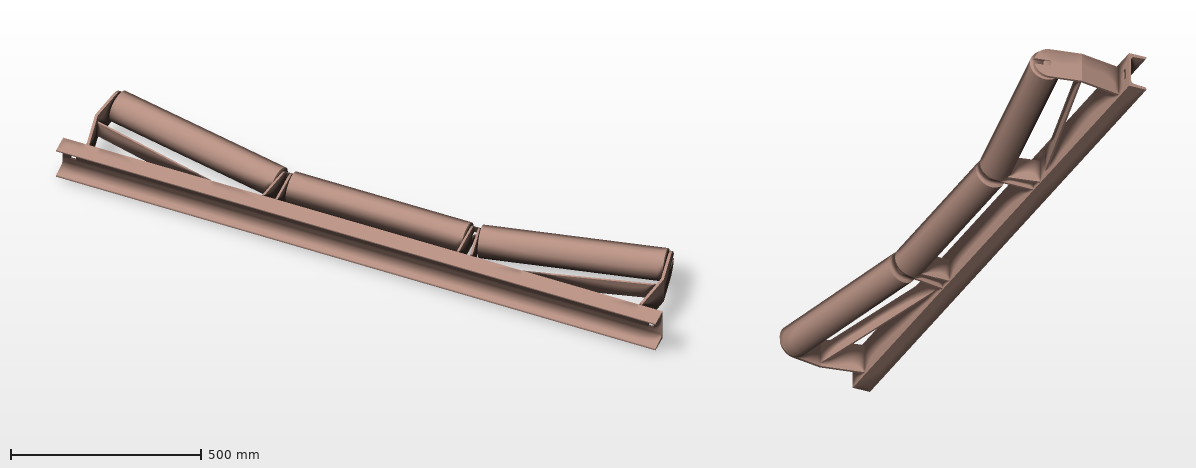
import cadquery as cq
import math


channel_length = 1700.0
channel_height = 100.0
channel_depth = 50.0
web_thickness = 6.0
flange_thickness = 8.0
flange_slope = 0.08
root_radius = 8.0
toe_radius = 4.2
bolt_slot_width = 15.0
bolt_slot_height = 30.0
bolt_slot_inset = 30.0

roller_radius = 44.5
roller_length = 502.0
rim_length = 7.0
rim_depth = 2.0
shaft_radius = 10.0
shaft_flat_height = 15.0
roller_gap = 3.0

axis_y = 167.0
axis_z = -19.4
pivot_x = 265.0
wing_start = 20.0
wing_angle = 10.0
lift_angle = 2.0

end_sheet = 7.6
end_plate_height = 83.0
end_plate_tip_y = 294.0

fork_sheet = 6.0
fork_height = 65.0
fork_bottom_z = -46.8
fork_top_y = 195.0
fork_bend_radius = 9.4
fork_corner_radius = 24.0

brace_thickness = 5.0
brace_height = 51.0
brace_z = -5.0
brace_foot_x = 332.0

half_length = channel_length / 2
half_roller = roller_length / 2
shaft_half = half_roller + roller_gap + fork_sheet
wing_tan = math.tan(math.radians(wing_angle))
wing_cos = math.cos(math.radians(wing_angle))
end_sheet_x = end_sheet / wing_cos
end_plate_distance = wing_start + roller_length + roller_gap + end_sheet


def wing_plane_x(distance, y):
    """X at height y of the upright plane square to the wing axis, at a distance from the pivot."""
    return pivot_x + distance / wing_cos - (y - axis_y) * wing_tan


bend_x = wing_plane_x(end_plate_distance, axis_y)


def upright_sheet(points, height, bottom_z):
    """Sheet with the given plan outline in X and Y, standing up along Z."""
    return cq.Workplane("XY", origin=(0, 0, bottom_z)).polyline(points).close().extrude(height)


def fillet_inner_edges(channel, y, half_z, radius):
    """Round the two long edges at the given Y and at Z = half_z and -half_z."""
    margin = 0.2
    zone = cq.selectors.BoxSelector(
        (-channel_length, y - margin, -half_z - margin),
        (channel_length, y + margin, half_z + margin),
    )
    return channel.edges(zone).edges("|X").fillet(radius)


def make_channel():
    half = channel_height / 2
    half_rise = flange_slope * channel_depth / 2
    toe = half - flange_thickness + half_rise
    root = half - flange_thickness - half_rise + flange_slope * web_thickness
    web_y = channel_depth - web_thickness
    profile = [
        (0, half), (channel_depth, half), (channel_depth, -half), (0, -half),
        (0, -toe), (web_y, -root), (web_y, root), (0, toe),
    ]
    channel = (
        cq.Workplane("YZ", origin=(-half_length, 0, 0))
        .polyline(profile)
        .close()
        .extrude(channel_length)
    )
    channel = fillet_inner_edges(channel, web_y, root, root_radius)
    channel = fillet_inner_edges(channel, 0, toe, toe_radius)
    slot_x = half_length - bolt_slot_inset
    slots = (
        cq.Workplane("XZ")
        .pushPoints([(-slot_x, 0), (slot_x, 0)])
        .rect(bolt_slot_width, bolt_slot_height)
        .extrude(-channel_depth)
    )
    return channel.cut(slots)


def flatted_bar(half_bar):
    """Round bar along X with flats above and below, centred on the origin."""
    bar = cq.Workplane("YZ", origin=(-half_bar, 0, 0)).circle(shaft_radius).extrude(2 * half_bar)
    flats = cq.Workplane("XY").box(2 * half_bar, 2 * shaft_radius, shaft_flat_height)
    return bar.intersect(flats)


def make_roller():
    """Roller along X, centred on the origin, with a flatted shaft end on each side."""
    shell = cq.Workplane("YZ", origin=(-half_roller, 0, 0)).circle(roller_radius).extrude(roller_length)
    shell = shell.faces("<X or >X").chamfer(rim_depth, rim_length)
    return shell.union(flatted_bar(shaft_half))


def make_shaft_slot():
    """Cutter for the bracket slots that seat the shaft of a roller on X, open towards +Y."""
    reach = shaft_half + end_sheet
    depth = 2 * roller_radius
    throat = cq.Workplane("XY").box(2 * reach, depth, shaft_flat_height).translate((0, depth / 2, 0))
    return flatted_bar(reach).union(throat)


def to_centre(body):
    """Move a body lying on X to the centre roller axis."""
    return body.translate((0, axis_y, axis_z))


def to_wing(body):
    """Move a body lying on X to the wing roller on the +X side."""
    return (
        body.translate((wing_start + half_roller, 0, 0))
        .rotate((0, 0, 0), (0, 1, 0), -lift_angle)
        .rotate((0, 0, 0), (0, 0, 1), wing_angle)
        .translate((pivot_x, axis_y, axis_z))
    )


def make_end_plate():
    half = end_plate_height / 2
    foot_x = bend_x - (axis_y - channel_depth) * wing_tan
    tip_x = wing_plane_x(end_plate_distance, end_plate_tip_y)
    plan = [
        (foot_x, channel_depth), (bend_x, axis_y), (tip_x, end_plate_tip_y),
        (tip_x - end_sheet_x, end_plate_tip_y), (bend_x - end_sheet_x, axis_y),
        (foot_x - end_sheet_x, channel_depth),
    ]
    rounded_outline = (
        cq.Workplane("YZ")
        .moveTo(channel_depth, -half)
        .lineTo(end_plate_tip_y - half, -half)
        .threePointArc((end_plate_tip_y, 0), (end_plate_tip_y - half, half))
        .lineTo(channel_depth, half)
        .close()
        .extrude(half_length)
    )
    plate = upright_sheet(plan, end_plate_height, -half).intersect(rounded_outline)
    return plate.cut(to_wing(make_shaft_slot()))


def make_fork():
    """One leg square to the centre roller, one square to the wing roller, joined by a bridge."""
    centre_face = half_roller + roller_gap
    wing_face = wing_start - roller_gap
    inner_face = wing_face - fork_sheet
    inner_y = fork_top_y - fork_sheet
    plan = [
        (centre_face, channel_depth), (centre_face, fork_top_y),
        (wing_plane_x(wing_face, fork_top_y), fork_top_y),
        (wing_plane_x(wing_face, channel_depth), channel_depth),
        (wing_plane_x(inner_face, channel_depth), channel_depth),
        (wing_plane_x(inner_face, inner_y), inner_y),
        (centre_face + fork_sheet, inner_y), (centre_face + fork_sheet, channel_depth),
    ]
    fork = upright_sheet(plan, fork_height, fork_bottom_z).edges("|Z and >Y").fillet(fork_bend_radius)
    rounded_outline = (
        cq.Workplane("XY", origin=(0, channel_depth, fork_bottom_z))
        .box(half_length, fork_top_y - channel_depth, fork_height, centered=False)
        .edges("|X and >Y")
        .fillet(fork_corner_radius)
    )
    slot = make_shaft_slot()
    return fork.intersect(rounded_outline).cut(to_centre(slot)).cut(to_wing(slot))


def make_brace():
    head_x = bend_x - end_sheet_x
    run = head_x - brace_foot_x
    rise = axis_y - channel_depth
    drop = brace_thickness * math.hypot(run, rise) / run
    lower_head_y = axis_y - drop / (1 - wing_tan * rise / run)
    plan = [
        (head_x, axis_y), (brace_foot_x, channel_depth),
        (brace_foot_x + drop * run / rise, channel_depth),
        (head_x - (axis_y - lower_head_y) * wing_tan, lower_head_y),
    ]
    return upright_sheet(plan, brace_height, brace_z - brace_height / 2)


channel = make_channel()
centre_roller = to_centre(make_roller())
bodies = [channel, centre_roller]

wing_roller = to_wing(make_roller())
for side_body in (wing_roller, make_fork(), make_end_plate(), make_brace()):
    bodies.append(side_body)
    bodies.append(side_body.mirror("YZ"))

result = cq.Compound.makeCompound([body.solids().val() for body in bodies])